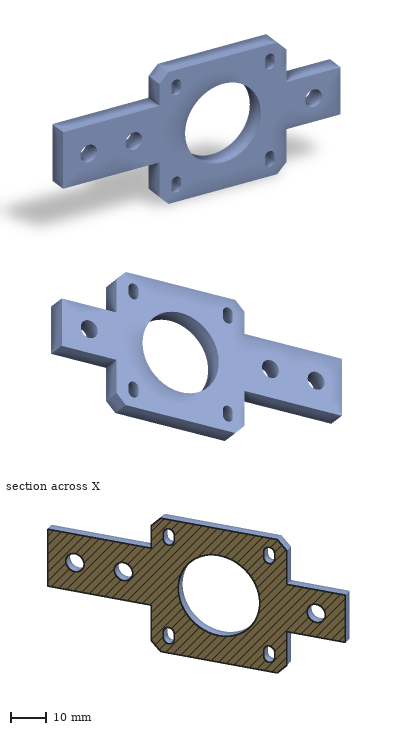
import cadquery as cq

thickness = 6.0
total_length = 92.0
body_size = 42.0
corner_chamfer = 3.0
bore_diameter = 25.0

short_tab_length = 18.0
short_tab_height = 15.0

long_tab_length = total_length - body_size - short_tab_length
long_tab_height = 18.0
long_tab_rise = 2.0

tab_hole_diameter = 5.5
long_tab_hole_spacing = 15.0
long_tab_hole_margin = 8.5

slot_spacing = 31.0
slot_width = 3.2
slot_length = 5.0

body_edge = body_size / 2
short_tab_hole_y = body_edge + short_tab_length / 2
long_tab_outer_hole_y = -body_edge - long_tab_length + long_tab_hole_margin
long_tab_inner_hole_y = long_tab_outer_hole_y + long_tab_hole_spacing


def tab(length, height, side, rise):
    """Flat bar leaving the body edge on the given Y side (+1 or -1)."""
    centre_y = side * (body_edge + length / 2)
    return cq.Workplane("XY").box(thickness, length, height).translate((0, centre_y, rise))


def through_plane():
    """Sketch plane on the -X face; its local axes are Y and Z."""
    return cq.Workplane("YZ", origin=(-thickness / 2, 0, 0))


def hole(diameter, y, z):
    return through_plane().center(y, z).circle(diameter / 2).extrude(thickness)


plate = cq.Workplane("XY").box(thickness, body_size, body_size)
plate = plate.edges("|X").chamfer(corner_chamfer)
plate = plate.union(tab(short_tab_length, short_tab_height, 1, 0))
plate = plate.union(tab(long_tab_length, long_tab_height, -1, long_tab_rise))

plate = plate.cut(hole(bore_diameter, 0, 0))
plate = plate.cut(hole(tab_hole_diameter, short_tab_hole_y, 0))
for hole_y in (long_tab_inner_hole_y, long_tab_outer_hole_y):
    plate = plate.cut(hole(tab_hole_diameter, hole_y, long_tab_rise))

slots = (
    through_plane()
    .rarray(slot_spacing, slot_spacing, 2, 2)
    .slot2D(slot_length, slot_width, 90)
    .extrude(thickness)
)
result = plate.cut(slots)